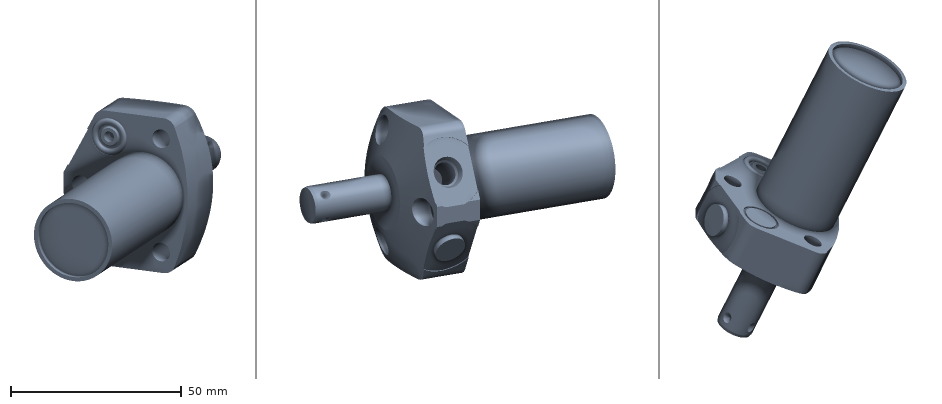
import cadquery as cq
import math

barrel_radius = 12.6
barrel_length = 50.9
barrel_recess_radius = 11.35
barrel_recess_depth = 1.3

flange_thickness = 19.0
flange_height = 47.6
flange_half_height = flange_height / 2
flange_left = -25.8
flange_right = 14.1
corner_radius = 3.8
bow_radius = 56.8
bow_widening = 0.2
crown_radius = 11.2
crown_slope = 1 / 3
crown_reach = 37.8

flank_angle = math.radians(28)
port_height = 11.4
port_y = 8.1
spotface_radius = 10.5
spotface_depth = 0.3
spotface_x = -21.1
tool_length = 4.7

port_mouth_radius = 4.6
port_throat_radius = 4.0
port_bore_radius = 3.4
port_throat_depth = 1.9
port_bore_start = 2.6
port_bore_depth = 12.5
plug_radius = 4.7
plug_height = 1.7

mount_hole_radius = 2.8
counterbore_radius = 4.3
counterbore_floor_y = 11.35
mount_holes = [(5.6, 17.4), (5.6, -17.4), (-20.2, 0)]

seat_x = -11.2
seat_z = 15.9
seat_radius = 5.7
ring_section_diameter = 2.0
ring_section_radius = ring_section_diameter / 2
ring_protrusion = 0.52
post_base_radius = 3.1
post_top_radius = 2.65
post_hole_radius = 1.6
post_hole_depth = 3.8
groove_inner_radius = 4.8
groove_depth = 0.5

rod_radius = 5.6
rod_length = 24.7
rod_end_chamfer_length = 0.9
rod_end_chamfer_width = 0.3
dimple_depth = 1.6
dimple_from_tip = 3.9
dimple_count = 4


def disc(radius, y_start, y_end, x=0.0, z=0.0):
    """Cylinder along Y between two y positions."""
    length = y_end - y_start
    base = cq.Vector(x, y_start, z)
    return cq.Workplane(cq.Solid.makeCylinder(radius, length, base, cq.Vector(0, 1, 0)))


def cone(radius_start, radius_end, y_start, y_end, x=0.0, z=0.0):
    """Cone frustum along Y between two y positions."""
    length = y_end - y_start
    base = cq.Vector(x, y_start, z)
    return cq.Workplane(cq.Solid.makeCone(radius_start, radius_end, length, base, cq.Vector(0, 1, 0)))


def flank_cone(side, radius_start, radius_end, start, end):
    """Cone frustum square to a flank; heights count outwards from the spotface. side is +1 or -1."""
    outward = cq.Vector(-math.cos(flank_angle), 0, side * math.sin(flank_angle))
    base = cq.Vector(spotface_x, port_y, side * port_height) + outward * start
    if radius_start == radius_end:
        return cq.Workplane(cq.Solid.makeCylinder(radius_start, end - start, base, outward))
    return cq.Workplane(cq.Solid.makeCone(radius_start, radius_end, end - start, base, outward))


def flank_cylinder(side, radius, start, end):
    return flank_cone(side, radius, radius, start, end)


def make_flange():
    flank_x = spotface_x - spotface_depth * math.cos(flank_angle)
    flank_z = port_height + spotface_depth * math.sin(flank_angle)
    nose_half_height = flank_z - (flank_x - flange_left) / math.tan(flank_angle)
    shoulder_x = flank_x + (flange_half_height - flank_z) * math.tan(flank_angle)
    outline = [
        (flange_left, -nose_half_height),
        (shoulder_x, -flange_half_height),
        (crown_reach, -flange_half_height),
        (crown_reach, flange_half_height),
        (shoulder_x, flange_half_height),
        (flange_left, nose_half_height),
    ]
    body = cq.Workplane("XZ").polyline(outline).close().extrude(-flange_thickness)
    bow = cone(bow_radius, bow_radius + bow_widening, 0, flange_thickness, x=flange_right - bow_radius)
    body = body.intersect(bow)

    body = body.faces(">Z or <Z").edges("not(#Y)").edges("not(|X)").fillet(corner_radius)
    crown_drop = (crown_reach - crown_radius) * crown_slope
    crown = disc(crown_reach, 0, flange_thickness - crown_drop).union(
        cone(crown_reach, crown_radius, flange_thickness - crown_drop, flange_thickness)
    )
    return body.intersect(crown)


def add_flank_features(body):
    for side in (1, -1):
        body = body.cut(flank_cylinder(side, spotface_radius, 0, tool_length))
    body = body.cut(flank_cone(1, port_throat_radius, port_mouth_radius, -port_throat_depth, 0))
    body = body.cut(flank_cone(1, port_bore_radius, port_throat_radius, -port_bore_start, -port_throat_depth))
    body = body.cut(flank_cylinder(1, port_bore_radius, -port_bore_depth, -port_bore_start))
    return body.union(flank_cylinder(-1, plug_radius, -plug_height, plug_height))


def add_mount_holes(body):
    for x, z in mount_holes:
        body = body.cut(disc(mount_hole_radius, 0, flange_thickness, x, z))
        body = body.cut(disc(counterbore_radius, counterbore_floor_y, flange_thickness, x, z))
    return body


def add_ring_seat(body):
    """Sealing ring standing slightly proud of the face, around a tapered post with a small hole."""
    ring_y = ring_section_radius - ring_protrusion
    ring_radius = seat_radius - ring_section_radius
    ring_centre = cq.Vector(seat_x, ring_y, seat_z)
    ring = cq.Workplane(
        cq.Solid.makeTorus(ring_radius, ring_section_radius, ring_centre, cq.Vector(0, 1, 0))
    )
    body = body.cut(disc(seat_radius, 0, ring_y, seat_x, seat_z))
    body = body.union(ring)
    body = body.union(cone(post_top_radius, post_base_radius, 0, ring_y, seat_x, seat_z))
    return body.cut(disc(post_hole_radius, 0, post_hole_depth, seat_x, seat_z))


def add_groove_seat(body):
    groove = disc(seat_radius, 0, groove_depth, seat_x, -seat_z)
    groove = groove.cut(disc(groove_inner_radius, 0, groove_depth, seat_x, -seat_z))
    return body.cut(groove)


def make_barrel():
    barrel = disc(barrel_radius, -barrel_length, 0)
    return barrel.cut(disc(barrel_recess_radius, -barrel_length, barrel_recess_depth - barrel_length))


def make_rod():
    tip = flange_thickness + rod_length
    shoulder = tip - rod_end_chamfer_length
    rod = disc(rod_radius, flange_thickness, shoulder)
    rod = rod.union(cone(rod_radius, rod_radius - rod_end_chamfer_width, shoulder, tip))
    apex_radius = rod_radius - dimple_depth
    cutter_height = 2 * dimple_depth
    for index in range(dimple_count):
        angle = 2 * math.pi * (index + 0.5) / dimple_count
        outward = cq.Vector(math.cos(angle), 0, math.sin(angle))
        apex = cq.Vector(0, tip - dimple_from_tip, 0) + outward * apex_radius
        rod = rod.cut(cq.Workplane(cq.Solid.makeCone(0, cutter_height, cutter_height, apex, outward)))
    return rod


flange = make_flange()
flange = add_flank_features(flange)
flange = add_mount_holes(flange)
flange = add_ring_seat(flange)
flange = add_groove_seat(flange)
result = flange.union(make_barrel()).union(make_rod())